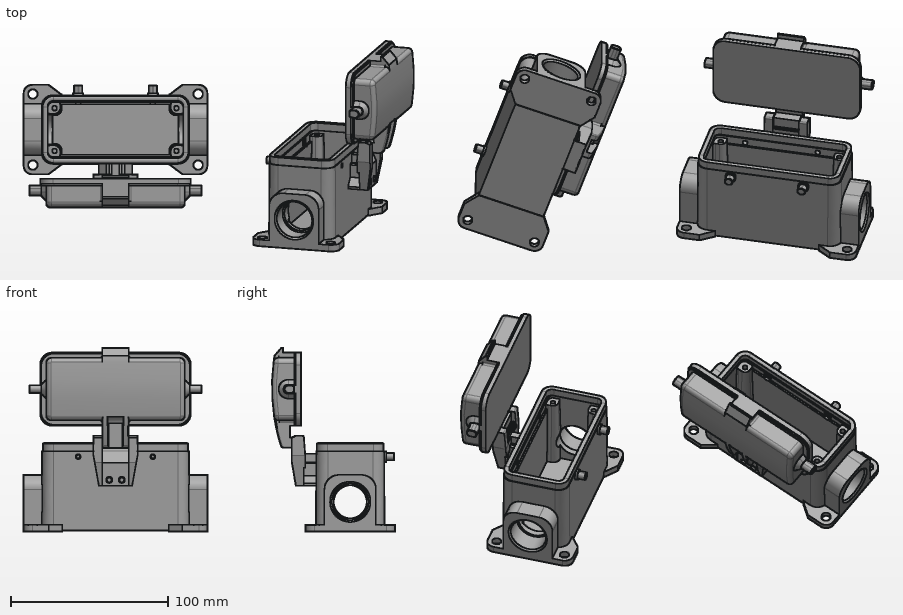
import cadquery as cq
import math

BASE_LENGTH = 117.0
BASE_WIDTH = 57.0
PAD_THICKNESS = 4.3
PAD_CORNER_RADIUS = 5.6
PAD_INNER_X = 33.8
PAD_SLOPE_X = 42.6
MOUNT_HOLE_DIAMETER = 5.8
MOUNT_HOLE_X = 52.5
MOUNT_HOLE_Y = 22.6

BODY_BOTTOM = 0.7
BODY_TOP = 51.0
BODY_LENGTH = 94.2
BODY_WIDTH = 43.9
BODY_CORNER_RADIUS = 7.6
BODY_DRAFT = 0.4

CAVITY_FLOOR = 3.5
CAVITY_LENGTH = 86.1
CAVITY_WIDTH = 32.3
CAVITY_CORNER_RADIUS = 3.4
LEDGE_WIDTH = 34.9
LEDGE_Z = 45.6

POST_X = 38.7
POST_Y = 13.6
POST_RADIUS = 3.5
POST_TOP = 49.1
POST_DRAFT = 1.4
POST_HOLE_DIAMETER = 3.0
POST_HOLE_DEPTH = 9.4
POST_WALL_OVERLAP = 1.9
POST_HEIGHT = POST_TOP - CAVITY_FLOOR

BOSS_WIDTH = 32.8
BOSS_TOP = 36.0
BOSS_CORNER_RADIUS = 9.1
BORE_Z = 19.0
BORE_DIAMETER = 21.0
ENTRY_DIAMETER = 23.4
ENTRY_CHAMFER = 1.2
ENTRY_DEPTH = 14.0
SILL_TOP_X = 40.6
SILL_FOOT_X = 39.8

GASKET_LENGTH = 92.4
GASKET_WIDTH = 42.6
GASKET_BAND = 3.0
GASKET_CORNER_RADIUS = 6.8
GASKET_EDGE_Z = 55.9
GASKET_TOP = 56.4

STUD_X = 23.8
STUD_Z = 47.6
STUD_SHANK_DIAMETER = 3.0
STUD_COLLAR_DIAMETER = 6.8
STUD_COLLAR_Y = 23.0
STUD_TIP_Y = 28.1
STUD_HEIGHT = 4.8
STUD_SLOT_LENGTH = 5.3
STUD_CHAMFER = 0.4
STUD_RECESS_RADIUS = 2.6
STUD_RECESS_Y = 17.9
STUD_END_Y = 17.4

BRACKET_HALF_WIDTH = 14.0
BRACKET_FOOT_HALF_WIDTH = 10.5
BRACKET_INNER_HALF_WIDTH = 8.5
BRACKET_TOP = 61.0
BRACKET_BOTTOM = 29.0
BRACKET_FRONT_Y = -37.2
BRACKET_FOOT_Y = -34.6
BRACKET_BACK_Y = -29.5
BRACKET_STEP_Y = -28.5
BRACKET_STEP_Z = 40.5
LEG_SIDE_TAPER_Z = 48.4
LEG_FRONT_TAPER_Z = 44.2
LEG_TOP_RADIUS = 0.9
LEG_TOP_SLOPE_Y = -34.9
LEG_TOP_FRONT_Z = 59.8
PLATE_TOP = 53.0
PLATE_SLOPE_TOP = 51.4
PLATE_SLOPE_BOTTOM = 43.8
PLATE_SLOPE_TOP_Y = -31.2
PLATE_TOP_Y = -30.7
NECK_TOP = 49.6

SCREW_X = 4.0
SCREW_Z = 32.9
SCREW_DIAMETER = 3.0
SCREW_RECESS_DIAMETER = 4.0
SCREW_RECESS_DEPTH = 1.8
SCREW_END_Y = -19.3

LID_CENTRE_Z = 90.5
LID_RIM_LENGTH = 95.9
LID_RIM_HEIGHT = 46.7
LID_RIM_RADIUS = 8.0
LID_RIM_STEP = 0.7
LID_BACK_Y = -31.2
LID_STEP_Y = -34.5
LID_RIM_FRONT_Y = -35.7
LID_BODY_LENGTH = 88.2
LID_BODY_HEIGHT = 39.8
LID_BODY_EDGE_RADIUS = 2.8
LID_BODY_CORNER_RADIUS = 3.4
LID_JOINT_RADIUS = 1.2
LID_CROWN_Y = -49.8
LID_CROWN_Z = 91.7
LID_CROWN_RADIUS = 122.8

TAB_HALF_WIDTH = BRACKET_INNER_HALF_WIDTH
TAB_TOP = 116.8
TAB_BACK_Y = -42.7
TAB_TIP_Y = -43.9
TAB_SLOPE_Z = 111.9

ARM_BOTTOM = 53.2
ARM_BACK_Y = -38.1
ARM_HOOK_Y = -31.8
ARM_HOOK_TOP = 59.9
ARM_NOSE_RADIUS = 2.2
ARM_EDGE_RADIUS = 0.7
ARM_CHANNEL_FLOOR_WIDTH = 8.8
ARM_CHANNEL_MOUTH_WIDTH = 10.6
ARM_CHANNEL_Y = -40.4
ARM_CHANNEL_CURVE_Y = -44.5
ARM_CHANNEL_FLOOR_TOP = 68.8
ARM_CHANNEL_TOP = 73.2

LUG_TIP_X = 54.8
LUG_BACK_Y = -35.5
LUG_FRONT_Y = -42.0
LUG_HEIGHT = 5.1
LUG_BACK_RADIUS = 1.8
LUG_CHAMFER = 0.4
LUG_BASE_Y = -39.5
LUG_BASE_RADIUS = 6.0
LUG_BASE_LENGTH = 3.0

SIDES = (-1, 1)


def box(x0, x1, y0, y1, z0, z1):
    """Box given by its limits along each axis."""
    return cq.Workplane("XY").box(x1 - x0, y1 - y0, z1 - z0, centered=False).translate((x0, y0, z0))


def rounded_block(length, width, radius, z0, z1, draft=0):
    """Upright block with rounded vertical corners, narrowing upward by the draft angle."""
    outline = cq.Sketch().rect(length, width).vertices().fillet(radius)
    return cq.Workplane("XY").workplane(offset=z0).placeSketch(outline).extrude(z1 - z0, taper=draft)


def rod_along_y(x, z, diameter, y0, y1):
    """Round rod or hole parallel to Y."""
    start = cq.Vector(x, y0, z)
    return cq.Workplane(cq.Solid.makeCylinder(diameter / 2, y1 - y0, start, cq.Vector(0, 1, 0)))


def rod_along_x(diameter, x0, x1):
    """Round rod on the cable entry axis."""
    start = cq.Vector(x0, 0, BORE_Z)
    return cq.Workplane(cq.Solid.makeCylinder(diameter / 2, x1 - x0, start, cq.Vector(1, 0, 0)))


def mirrored_in_x(shape):
    """The shape joined with its mirror image across the YZ plane."""
    return shape.union(shape.mirror("YZ"))


def make_housing_block():
    """Drafted outer block of the housing."""
    return rounded_block(
        BODY_LENGTH, BODY_WIDTH, BODY_CORNER_RADIUS, BODY_BOTTOM, BODY_TOP, BODY_DRAFT
    )


def make_mounting_pad():
    end_x = BASE_LENGTH / 2
    side_y = BASE_WIDTH / 2
    wall_y = BODY_WIDTH / 2
    outline = [
        (end_x, -side_y), (end_x, side_y), (PAD_SLOPE_X, side_y), (PAD_INNER_X, wall_y),
        (PAD_INNER_X, -wall_y), (PAD_SLOPE_X, -side_y),
    ]
    pad = cq.Workplane("XY").polyline(outline).close().extrude(PAD_THICKNESS)
    pad = pad.edges("|Z and >X").fillet(PAD_CORNER_RADIUS)
    holes = cq.Workplane("XY").pushPoints([(MOUNT_HOLE_X, side * MOUNT_HOLE_Y) for side in SIDES])
    return pad.cut(holes.circle(MOUNT_HOLE_DIAMETER / 2).extrude(PAD_THICKNESS))


def make_entry_boss():
    inner_x = CAVITY_LENGTH / 2
    boss = box(inner_x, BASE_LENGTH / 2, -BOSS_WIDTH / 2, BOSS_WIDTH / 2, 0, BOSS_TOP)
    return boss.edges("|X and >Z").fillet(BOSS_CORNER_RADIUS)


def make_entry_bore():
    """Stepped bore of one end, with a chamfered mouth."""
    end_x = BASE_LENGTH / 2
    entry = rod_along_x(ENTRY_DIAMETER, end_x - ENTRY_DEPTH, end_x)
    mouth = cq.Solid.makeCone(
        ENTRY_DIAMETER / 2, ENTRY_DIAMETER / 2 + ENTRY_CHAMFER, ENTRY_CHAMFER,
        cq.Vector(end_x - ENTRY_CHAMFER, 0, BORE_Z), cq.Vector(1, 0, 0),
    )
    return rod_along_x(BORE_DIAMETER, 0, end_x).union(entry).union(cq.Workplane(mouth))


def make_cavity():
    lower = rounded_block(CAVITY_LENGTH, CAVITY_WIDTH, CAVITY_CORNER_RADIUS, CAVITY_FLOOR, BODY_TOP)
    upper = rounded_block(CAVITY_LENGTH, LEDGE_WIDTH, CAVITY_CORNER_RADIUS, LEDGE_Z, BODY_TOP)
    return lower.union(upper)


def make_corner_post(side_x, side_y):
    """Post that widens downward from the rounded corner around its screw hole."""
    inner_x = POST_X - POST_RADIUS
    inner_y = POST_Y - POST_RADIUS
    length = CAVITY_LENGTH / 2 + POST_WALL_OVERLAP - inner_x
    width = LEDGE_WIDTH / 2 + POST_WALL_OVERLAP - inner_y
    outline = cq.Sketch().rect(length, width).vertices().fillet(POST_RADIUS)
    centre = (side_x * (inner_x + length / 2), side_y * (inner_y + width / 2), POST_TOP)
    start = cq.Workplane("XY", origin=centre)
    return start.placeSketch(outline).extrude(-POST_HEIGHT, taper=-POST_DRAFT)


def make_sill():
    """Low drafted wall inside the cavity, between two posts."""
    outer_x = BASE_LENGTH / 2 - ENTRY_DEPTH
    profile = [
        (SILL_FOOT_X, CAVITY_FLOOR), (SILL_TOP_X, BORE_Z), (outer_x, BORE_Z), (outer_x, CAVITY_FLOOR),
    ]
    return cq.Workplane("XZ").polyline(profile).close().extrude(POST_Y, both=True)


def make_stud_recess(x):
    """Round-bottomed recess in the inner face of the rear wall, open toward the rim."""
    face_y = CAVITY_WIDTH / 2
    seat = rod_along_y(x, STUD_Z, 2 * STUD_RECESS_RADIUS, face_y, STUD_RECESS_Y)
    slot = box(
        x - STUD_RECESS_RADIUS, x + STUD_RECESS_RADIUS, face_y, STUD_RECESS_Y, STUD_Z, BODY_TOP
    )
    return seat.union(slot)


def make_housing():
    housing = make_housing_block()
    housing = housing.union(mirrored_in_x(make_mounting_pad().union(make_entry_boss())))
    housing = housing.cut(make_cavity())

    housing = housing.union(mirrored_in_x(make_sill()))
    for side_x in SIDES:
        for side_y in SIDES:
            housing = housing.union(make_corner_post(side_x, side_y))
    housing = housing.cut(mirrored_in_x(make_entry_bore()))

    post_tops = cq.Workplane("XY", origin=(0, 0, POST_TOP))
    post_centres = post_tops.rect(2 * POST_X, 2 * POST_Y, forConstruction=True).vertices()
    housing = housing.cut(post_centres.circle(POST_HOLE_DIAMETER / 2).extrude(-POST_HOLE_DEPTH))

    for side in SIDES:
        stud_x = side * STUD_X
        stud_holes = rod_along_y(stud_x, STUD_Z, STUD_SHANK_DIAMETER, -BODY_WIDTH / 2, BODY_WIDTH / 2)
        housing = housing.cut(stud_holes).cut(make_stud_recess(stud_x))
        housing = housing.cut(make_screw(side))
    return housing


def make_gasket():
    """Rounded rectangular ring with a domed top."""
    path_length = GASKET_LENGTH - GASKET_BAND
    path_width = GASKET_WIDTH - GASKET_BAND
    path_radius = GASKET_CORNER_RADIUS - GASKET_BAND / 2
    frame = cq.Workplane("XY", origin=(0, 0, BODY_TOP)).rect(path_length, path_width)
    path = cq.Wire.assembleEdges(frame.val().fillet2D(path_radius, frame.val().Vertices()).Edges())
    edge_height = GASKET_EDGE_Z - BODY_TOP
    profile = (
        cq.Workplane("YZ", origin=(0, path_width / 2, BODY_TOP))
        .moveTo(-GASKET_BAND / 2, 0)
        .lineTo(-GASKET_BAND / 2, edge_height)
        .threePointArc((0, GASKET_TOP - BODY_TOP), (GASKET_BAND / 2, edge_height))
        .lineTo(GASKET_BAND / 2, 0)
        .close()
    )
    return profile.sweep(cq.Workplane(path), transition="round")


def make_stud(side):
    """Shank through the rear wall, round collar and flattened head."""
    x = side * STUD_X
    shank = rod_along_y(x, STUD_Z, STUD_SHANK_DIAMETER, STUD_END_Y, STUD_COLLAR_Y)
    shank = shank.faces("<Y").chamfer(STUD_CHAMFER)
    collar = rod_along_y(x, STUD_Z, STUD_COLLAR_DIAMETER, GASKET_WIDTH / 2, STUD_COLLAR_Y)
    head = (
        cq.Workplane("XZ", origin=(x, STUD_COLLAR_Y, STUD_Z))
        .slot2D(STUD_SLOT_LENGTH, STUD_HEIGHT)
        .extrude(STUD_COLLAR_Y - STUD_TIP_Y)
        .faces(">Y")
        .chamfer(STUD_CHAMFER)
    )
    return shank.union(collar).union(head)


def make_screw(side):
    """Plain screw that ends at the bottom of the recess in the bracket plate."""
    head_y = BRACKET_FOOT_Y + SCREW_RECESS_DEPTH
    return rod_along_y(side * SCREW_X, SCREW_Z, SCREW_DIAMETER, head_y, SCREW_END_Y)


def make_bracket_leg():
    """Right-hand leg: its side profile limited by its tapering front outline."""
    side_profile = [
        (BRACKET_FOOT_Y, BRACKET_BOTTOM), (BRACKET_FRONT_Y, LEG_FRONT_TAPER_Z),
        (BRACKET_FRONT_Y, LEG_TOP_FRONT_Z), (LEG_TOP_SLOPE_Y, BRACKET_TOP), (BRACKET_BACK_Y, BRACKET_TOP),
        (BRACKET_STEP_Y, LEG_SIDE_TAPER_Z), (BRACKET_STEP_Y, BRACKET_STEP_Z),
        (BRACKET_BACK_Y, BRACKET_STEP_Z), (BRACKET_BACK_Y, BRACKET_BOTTOM),
    ]
    leg = cq.Workplane("YZ").polyline(side_profile).close().extrude(BRACKET_HALF_WIDTH)
    leg = leg.faces(">Z").edges(">Y").fillet(LEG_TOP_RADIUS)
    front_outline = [
        (BRACKET_INNER_HALF_WIDTH, BRACKET_BOTTOM), (BRACKET_FOOT_HALF_WIDTH, BRACKET_BOTTOM),
        (BRACKET_HALF_WIDTH, LEG_SIDE_TAPER_Z), (BRACKET_HALF_WIDTH, BRACKET_TOP),
        (BRACKET_INNER_HALF_WIDTH, BRACKET_TOP),
    ]
    return leg.intersect(cq.Workplane("XZ").polyline(front_outline).close().extrude(-BRACKET_FRONT_Y))


def make_bracket_plate():
    """Plate between the legs, leaning back toward its upper edge."""
    profile = [
        (BRACKET_BACK_Y, BRACKET_BOTTOM), (BRACKET_FOOT_Y, BRACKET_BOTTOM),
        (BRACKET_FOOT_Y, PLATE_SLOPE_BOTTOM), (PLATE_SLOPE_TOP_Y, PLATE_SLOPE_TOP),
        (PLATE_TOP_Y, PLATE_TOP), (BRACKET_BACK_Y, PLATE_TOP),
        (BRACKET_BACK_Y, NECK_TOP), (BRACKET_STEP_Y, NECK_TOP), (BRACKET_STEP_Y, BRACKET_STEP_Z),
        (BRACKET_BACK_Y, BRACKET_STEP_Z),
    ]
    plate = cq.Workplane("YZ").polyline(profile).close()
    return plate.extrude(BRACKET_INNER_HALF_WIDTH, both=True)


def make_bracket_neck():
    """Stepped neck from the plate back to the housing wall, splayed at its foot."""
    half_outline = [
        (2.5, NECK_TOP), (2.5, 44.2), (4.1, 44.2), (5.7, 43.5), (5.7, 35.5), (10.8, 30.7),
        (10.5, BRACKET_BOTTOM),
    ]
    other_half = [(-x, z) for x, z in reversed(half_outline)]
    neck = cq.Workplane("XZ").polyline(half_outline + other_half).close().extrude(-BRACKET_BACK_Y)
    return neck.cut(make_housing_block())


def make_bracket():
    bracket = make_bracket_plate().union(make_bracket_neck()).union(mirrored_in_x(make_bracket_leg()))
    for side in SIDES:
        recess_end_y = BRACKET_FOOT_Y + SCREW_RECESS_DEPTH
        recess = rod_along_y(side * SCREW_X, SCREW_Z, SCREW_RECESS_DIAMETER, BRACKET_FOOT_Y, recess_end_y)
        bracket = bracket.cut(recess).cut(make_screw(side))
    return bracket


def crown_y(z):
    """Y of the curved front face at height z."""
    rise = z - LID_CROWN_Z
    return LID_CROWN_Y + LID_CROWN_RADIUS - math.sqrt(LID_CROWN_RADIUS**2 - rise**2)


def lid_plate(inset, back_y, front_y):
    """Rounded plate of the lid rim, inset from the full outline."""
    outline = (
        cq.Sketch()
        .rect(LID_RIM_LENGTH - 2 * inset, LID_RIM_HEIGHT - 2 * inset)
        .vertices()
        .fillet(LID_RIM_RADIUS)
    )
    plate = cq.Workplane("XZ", origin=(0, back_y, LID_CENTRE_Z))
    return plate.placeSketch(outline).extrude(back_y - front_y)


def crowned_profile(bottom, top, half_width):
    """Block with the curved front face, from the rim forward."""
    return (
        cq.Workplane("YZ")
        .moveTo(LID_RIM_FRONT_Y, bottom)
        .lineTo(crown_y(bottom), bottom)
        .threePointArc((LID_CROWN_Y, LID_CROWN_Z), (crown_y(top), top))
        .lineTo(LID_RIM_FRONT_Y, top)
        .close()
        .extrude(half_width, both=True)
    )


def make_lid_body():
    half_height = LID_BODY_HEIGHT / 2
    body = crowned_profile(LID_CENTRE_Z - half_height, LID_CENTRE_Z + half_height, LID_BODY_LENGTH / 2)
    body = body.edges("|Y").fillet(LID_BODY_CORNER_RADIUS)
    return body.faces("<Y").edges().fillet(LID_BODY_EDGE_RADIUS)


def make_lid_tab():
    """Central band and its hooked upper end."""
    rim_top = LID_CENTRE_Z + LID_RIM_HEIGHT / 2
    body_top = LID_CENTRE_Z + LID_BODY_HEIGHT / 2
    return (
        cq.Workplane("YZ")
        .moveTo(LID_STEP_Y, LID_CENTRE_Z)
        .lineTo(LID_STEP_Y, rim_top)
        .lineTo(TAB_BACK_Y, rim_top)
        .lineTo(TAB_BACK_Y, TAB_TOP)
        .lineTo(TAB_TIP_Y, TAB_TOP)
        .lineTo(crown_y(TAB_SLOPE_Z), TAB_SLOPE_Z)
        .threePointArc((crown_y(body_top), body_top), (crown_y(LID_CENTRE_Z), LID_CENTRE_Z))
        .close()
        .extrude(TAB_HALF_WIDTH, both=True)
    )


def make_lid_arm():
    """Hinge arm that continues the curved front down between the bracket legs."""
    rim_bottom = LID_CENTRE_Z - LID_RIM_HEIGHT / 2
    arm_top = LID_CENTRE_Z
    arm = (
        cq.Workplane("YZ")
        .moveTo(crown_y(ARM_BOTTOM), ARM_BOTTOM)
        .threePointArc((crown_y(rim_bottom), rim_bottom), (crown_y(arm_top), arm_top))
        .lineTo(LID_STEP_Y, arm_top)
        .lineTo(LID_STEP_Y, rim_bottom)
        .lineTo(ARM_BACK_Y, rim_bottom)
        .lineTo(ARM_BACK_Y, ARM_HOOK_TOP)
        .lineTo(ARM_HOOK_Y, ARM_HOOK_TOP)
        .lineTo(ARM_HOOK_Y, ARM_BOTTOM)
        .close()
        .extrude(TAB_HALF_WIDTH, both=True)
    )
    arm = arm.faces("<Z").edges("<Y").fillet(ARM_NOSE_RADIUS)
    return arm.faces("<Y").edges("<X or >X").fillet(ARM_EDGE_RADIUS)


def make_arm_channel():
    """Channel between the two ribs of the arm, drafted, with a concave upper end."""
    curve_middle = (
        0.7 * ARM_CHANNEL_CURVE_Y + 0.3 * LID_CROWN_Y,
        0.3 * ARM_CHANNEL_FLOOR_TOP + 0.7 * ARM_CHANNEL_TOP,
    )
    profile = (
        cq.Workplane("YZ")
        .moveTo(ARM_CHANNEL_Y, ARM_BOTTOM)
        .lineTo(ARM_CHANNEL_Y, ARM_CHANNEL_FLOOR_TOP)
        .lineTo(ARM_CHANNEL_CURVE_Y, ARM_CHANNEL_FLOOR_TOP)
        .threePointArc(curve_middle, (LID_CROWN_Y, ARM_CHANNEL_TOP))
        .lineTo(LID_CROWN_Y, ARM_BOTTOM)
        .close()
        .extrude(TAB_HALF_WIDTH, both=True)
    )
    half_floor = ARM_CHANNEL_FLOOR_WIDTH / 2
    half_mouth = ARM_CHANNEL_MOUTH_WIDTH / 2
    section = [
        (-half_floor, ARM_CHANNEL_Y), (half_floor, ARM_CHANNEL_Y),
        (half_mouth, LID_CROWN_Y), (-half_mouth, LID_CROWN_Y),
    ]
    return profile.intersect(cq.Workplane("XY").polyline(section).close().extrude(LID_CENTRE_Z))


def make_joint_fillet(vertical_side):
    """Concave fillet between the lid body and the tab (side 1) or the arm (side -1)."""
    joint_z = LID_CENTRE_Z + vertical_side * LID_BODY_HEIGHT / 2
    radius = LID_JOINT_RADIUS
    arc_inset = radius * (1 - math.sqrt(0.5))
    length = LID_STEP_Y - crown_y(joint_z) - LID_BODY_EDGE_RADIUS
    return (
        cq.Workplane("XZ", origin=(TAB_HALF_WIDTH, LID_STEP_Y, joint_z))
        .lineTo(radius, 0)
        .threePointArc((arc_inset, vertical_side * arc_inset), (0, vertical_side * radius))
        .close()
        .extrude(length)
    )


def make_lid_lug():
    """Right-hand latch lug with its conical base and its seat on the rim."""
    body_x = LID_BODY_LENGTH / 2
    rim_x = LID_RIM_LENGTH / 2
    half_height = LUG_HEIGHT / 2
    arc_start_y = LUG_FRONT_Y + half_height
    lug = (
        cq.Workplane("YZ", origin=(body_x, 0, LID_CENTRE_Z))
        .moveTo(LUG_BACK_Y, -half_height)
        .lineTo(arc_start_y, -half_height)
        .threePointArc((LUG_FRONT_Y, 0), (arc_start_y, half_height))
        .lineTo(LUG_BACK_Y, half_height)
        .close()
        .extrude(LUG_TIP_X - body_x)
    )
    lug = lug.edges("|X and >Y").fillet(LUG_BACK_RADIUS).faces(">X").chamfer(LUG_CHAMFER)

    tip_radius = LUG_BASE_RADIUS - LUG_BASE_LENGTH
    cone = cq.Solid.makeCone(
        LUG_BASE_RADIUS, tip_radius, LUG_BASE_LENGTH,
        cq.Vector(body_x, LUG_BASE_Y, LID_CENTRE_Z), cq.Vector(1, 0, 0),
    )
    wedge_outline = [
        (body_x, LID_CENTRE_Z - LUG_BASE_RADIUS), (body_x + LUG_BASE_LENGTH, LID_CENTRE_Z - tip_radius),
        (body_x + LUG_BASE_LENGTH, LID_CENTRE_Z + tip_radius), (body_x, LID_CENTRE_Z + LUG_BASE_RADIUS),
    ]
    wedge = cq.Workplane("XZ", origin=(0, LID_RIM_FRONT_Y, 0)).polyline(wedge_outline).close()
    wedge = wedge.extrude(LID_RIM_FRONT_Y - LUG_BASE_Y)
    seat = box(
        body_x, rim_x, LID_RIM_FRONT_Y, LID_STEP_Y,
        LID_CENTRE_Z - half_height, LID_CENTRE_Z + half_height,
    )
    return lug.union(cq.Workplane(cone)).union(wedge).union(seat)


def make_lid():
    lid = lid_plate(0, LID_BACK_Y, LID_STEP_Y)
    lid = lid.union(lid_plate(LID_RIM_STEP, LID_STEP_Y, LID_RIM_FRONT_Y))
    lid = lid.union(make_lid_body()).union(make_lid_tab()).union(make_lid_arm())
    for vertical_side in SIDES:
        lid = lid.union(mirrored_in_x(make_joint_fillet(vertical_side)))
    return lid.cut(make_arm_channel()).union(mirrored_in_x(make_lid_lug()))


housing = make_housing()
gasket = make_gasket()
lid = make_lid()
bracket = make_bracket()
studs = [make_stud(side).cut(housing).val() for side in SIDES]
screws = [make_screw(side).val() for side in SIDES]

result = cq.Compound.makeCompound([housing.val(), gasket.val(), lid.val(), bracket.val(), *studs, *screws])